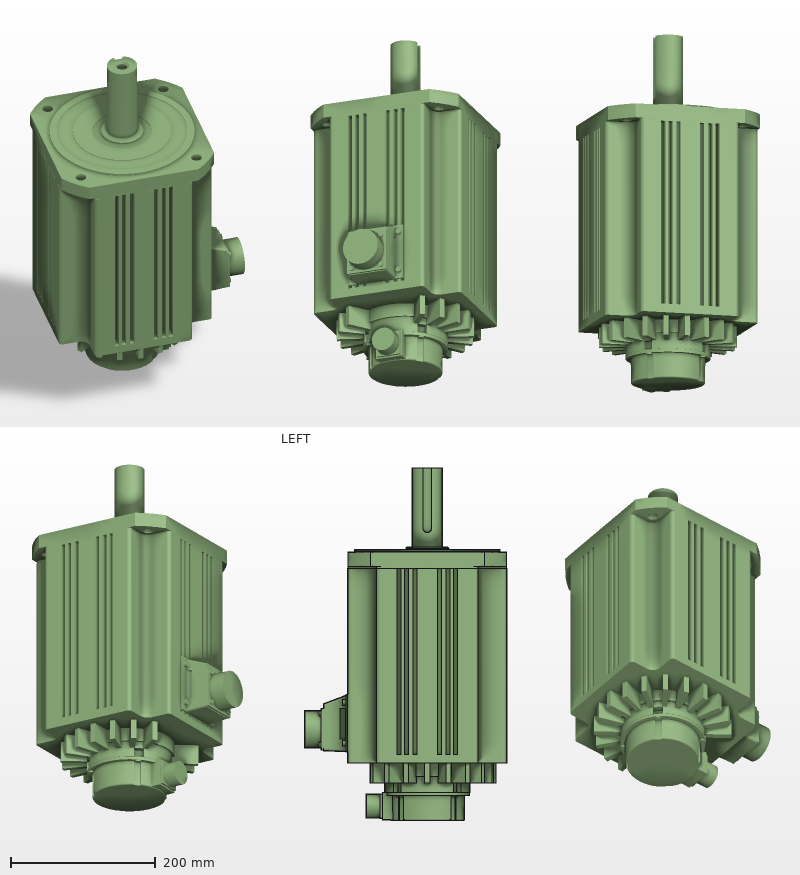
import cadquery as cq


OVERALL_LENGTH = 487.5
OVERALL_DEPTH = 279.5

SHAFT_R = 21.0
SHAFT_TOP = 116.5
KEY_WIDTH = 12.0
KEY_LENGTH = 89.0
KEY_FLOOR_X = -15.0
CENTRE_HOLE_R = 7.0
CENTRE_HOLE_DEPTH = 34.0
CENTRE_SINK_R = 9.7

FLANGE_SIDE = 219.5
FLANGE_CORNER_R = 135.0
FLANGE_THICK = 19.5
BOLT_CIRCLE_R = 117.5
BOLT_HOLE_R = 7.5
PILOT_R = 100.5
PILOT_HEIGHT = 4.0
PILOT_UNDERCUT_R = 99.0
PILOT_UNDERCUT_HEIGHT = 1.5
PILOT_STEP = 1.0
PILOT_RECESS_R = 90.0
HUB_FACE_R = 68.0
SEAL_POCKET_R = 41.0
SEAL_R = 29.5
SEAL_TOP = 7.0
SEAL_CHAMFER = 1.5

HOUSING_SIDE = 220.0
COLLAR_SIDE = FLANGE_SIDE
HOUSING_BOTTOM = -291.5
NOTCH_WALL = 70.0
NOTCH_INNER_R = 12.0
NOTCH_TIP_R = 5.5
GROOVE_TOP = -22.5
GROOVE_BOTTOM = -279.5
GROOVE_WIDTH = 6.0
GROOVE_OFFSETS = (17.0, 29.0, 39.0)
GROOVE_FLOOR_R = 102.5

FIN_COUNT = 20
FINS_OMITTED = (4, 5, 6)
FIN_ROOT_R = 53.5
FIN_TIP_R = 95.0
FIN_WIDTH = 7.5
FIN_BOTTOM = -319.3
REAR_HUB_R = 62.5
REAR_HUB_BOTTOM = -310.0

RING_R = 59.0
RING_BOTTOM = -336.5
RIM_R = 58.5
RIM_HEIGHT = 4.5
CUP_TOP_R = 51.5
CUP_BOTTOM_R = 51.0
CUP_BOTTOM = SHAFT_TOP - OVERALL_LENGTH
CUP_FILLET = 2.0
RING_SLOT_WIDTH = 14.0
RING_SLOT_FLOOR = 49.5
CUP_SLOT_WIDTH = 9.7
CUP_SLOT_FLOOR = 49.0
COVER_SCREW_R = 4.0
COVER_SCREW_CENTRE = 54.5
COVER_SCREW_HEIGHT = 2.0

ENC_Z = -351.0
ENC_BOX_SIDE = 38.0
ENC_BOX_Y = 62.0
ENC_PLATE_Y = 65.5
ENC_PLATE_SIDE = 34.0
ENC_PLUG_R = 16.5
ENC_PLUG_Y = 84.5

POWER_Z = -244.5
POWER_BASE_Y = 112.5
POWER_BASE_HALF_X = 40.5
POWER_BOX_Y = 143.5
POWER_PLATE_Y = 146.5
POWER_PLUG_Y = OVERALL_DEPTH - HOUSING_SIDE / 2
POWER_PLUG_R = 26.0
POWER_PLATE_SIDE = 57.5
POWER_BASE_TOP = -197.0
POWER_BASE_BOTTOM = -276.0
POWER_TIP_TOP = -209.5
POWER_TIP_BOTTOM = -274.5
POWER_BASE_BOX_X = 30.0
POWER_TIP_BOX_X = 29.0
POWER_BOX_FILLET = 3.0
EDGE_MARGIN = 5.0
POWER_SCREW_R = 4.0
POWER_SCREW_X = 35.0
POWER_SCREW_Y = 117.0
POWER_SCREW_Z = (-207.5, -264.0)
PLUG_SCREW_R = 3.5
PLUG_SCREW_OFFSET = 22.0
PLUG_SCREW_HEIGHT = 3.0
GRIP_TOP = -216.0
GRIP_BOTTOM = -258.0
GRIP_OUTER_Y = 120.5
GRIP_DEPTH = 9.0


def disc(radius, bottom, top):
    """Cylinder on the Z axis between two heights."""
    return cq.Workplane("XY").workplane(offset=bottom).circle(radius).extrude(top - bottom)


def block(x0, x1, y0, y1, z0, z1):
    """Box given by its limits along each axis."""
    return cq.Workplane("XY").box(x1 - x0, y1 - y0, z1 - z0, centered=False).translate((x0, y0, z0))


def rod_y(radius, x, z, y0, y1):
    """Cylinder parallel to Y between two Y positions."""
    return cq.Workplane("XZ", origin=(x, y0, z)).circle(radius).extrude(y0 - y1)


def turned(shape, angle):
    """Shape rotated about the Z axis by an angle in degrees."""
    return shape.rotate((0, 0, 0), (0, 0, 1), angle)


def make_shaft():
    shaft = disc(SHAFT_R, -FLANGE_THICK, SHAFT_TOP)
    key_end_z = SHAFT_TOP - KEY_LENGTH + KEY_WIDTH / 2
    key_depth = SHAFT_R + KEY_FLOOR_X
    key_end = cq.Workplane("YZ", origin=(-SHAFT_R, 0, key_end_z)).circle(KEY_WIDTH / 2).extrude(key_depth)
    keyway = block(-SHAFT_R, KEY_FLOOR_X, -KEY_WIDTH / 2, KEY_WIDTH / 2, key_end_z, SHAFT_TOP)
    sink_depth = CENTRE_SINK_R - CENTRE_HOLE_R
    centre_hole = (
        cq.Workplane("XZ")
        .moveTo(0, SHAFT_TOP)
        .lineTo(CENTRE_SINK_R, SHAFT_TOP)
        .lineTo(CENTRE_HOLE_R, SHAFT_TOP - sink_depth)
        .lineTo(CENTRE_HOLE_R, SHAFT_TOP - CENTRE_HOLE_DEPTH)
        .lineTo(0, SHAFT_TOP - CENTRE_HOLE_DEPTH - CENTRE_HOLE_R)
        .close()
        .revolve(360, (0, 0, 0), (0, 1, 0))
    )
    return shaft.cut(keyway).cut(key_end).cut(centre_hole)


def make_flange():
    half = FLANGE_SIDE / 2
    flange = block(-half, half, -half, half, -FLANGE_THICK, 0)
    flange = flange.intersect(disc(FLANGE_CORNER_R, -FLANGE_THICK, 0))
    flange = flange.union(disc(PILOT_UNDERCUT_R, -PILOT_STEP, PILOT_UNDERCUT_HEIGHT))
    flange = flange.union(disc(PILOT_R, PILOT_UNDERCUT_HEIGHT, PILOT_HEIGHT))
    step_floor = PILOT_HEIGHT - PILOT_STEP
    flange = flange.cut(disc(PILOT_RECESS_R, step_floor, PILOT_HEIGHT))
    flange = flange.union(disc(HUB_FACE_R, 0, PILOT_HEIGHT))
    flange = flange.cut(disc(SEAL_POCKET_R, step_floor, PILOT_HEIGHT))
    seal = disc(SEAL_R, 0, SEAL_TOP).faces(">Z").chamfer(SEAL_CHAMFER)
    return flange.union(seal)


def bolt_holes():
    return (
        cq.Workplane("XY")
        .workplane(offset=-FLANGE_THICK)
        .polarArray(BOLT_CIRCLE_R, 45, 360, 4)
        .circle(BOLT_HOLE_R)
        .extrude(FLANGE_THICK)
    )


def notched_prism(side, bottom, top):
    """Square prism with a rounded square notch cut out of each corner."""
    wall = NOTCH_WALL - (HOUSING_SIDE - side) / 2
    height = top - bottom
    base = cq.Workplane("XY").workplane(offset=bottom)
    prism = base.rect(side, 2 * wall).extrude(height)
    prism = prism.union(base.rect(2 * wall, side).extrude(height))
    reach = wall + NOTCH_TIP_R
    middle = cq.selectors.BoxSelector((-reach, -reach, bottom), (reach, reach, top))
    tips = cq.selectors.InverseSelector(middle)
    prism = prism.edges("|Z").edges(tips).fillet(NOTCH_TIP_R)
    return prism.edges("|Z").edges(middle).fillet(NOTCH_INNER_R)


def make_housing():
    collar = notched_prism(COLLAR_SIDE, GROOVE_TOP, -FLANGE_THICK)
    housing = notched_prism(HOUSING_SIDE, HOUSING_BOTTOM, GROOVE_TOP).union(collar)

    core = disc(GROOVE_FLOOR_R, GROOVE_BOTTOM, GROOVE_TOP)
    grooves = []
    for offset in GROOVE_OFFSETS:
        for centre in (-offset, offset):
            left = centre - GROOVE_WIDTH / 2
            right = centre + GROOVE_WIDTH / 2
            groove = block(left, right, -HOUSING_SIDE, -NOTCH_WALL, GROOVE_BOTTOM, GROOVE_TOP)
            grooves.append(groove.cut(core))
    for side in range(4):
        for groove in grooves:
            housing = housing.cut(turned(groove, 90 * side))
    return housing


def make_rear_fins():
    rear = disc(REAR_HUB_R, REAR_HUB_BOTTOM, HOUSING_BOTTOM)
    for index in range(FIN_COUNT):
        if index in FINS_OMITTED:
            continue
        fin = block(FIN_ROOT_R, FIN_TIP_R, -FIN_WIDTH / 2, FIN_WIDTH / 2, FIN_BOTTOM, HOUSING_BOTTOM)
        rear = rear.union(turned(fin, index * 360 / FIN_COUNT))
    return rear


def make_encoder():
    cup = (
        cq.Workplane("XY")
        .workplane(offset=CUP_BOTTOM)
        .circle(CUP_BOTTOM_R)
        .workplane(offset=RING_BOTTOM - CUP_BOTTOM)
        .circle(CUP_TOP_R)
        .loft()
        .faces("<Z")
        .edges()
        .fillet(CUP_FILLET)
    )
    rim_top = RING_BOTTOM + RIM_HEIGHT
    screw_bottom = RING_BOTTOM - COVER_SCREW_HEIGHT
    ring = disc(RING_R, rim_top, REAR_HUB_BOTTOM)
    ring_slot = block(
        RING_SLOT_FLOOR, FIN_TIP_R, -RING_SLOT_WIDTH / 2, RING_SLOT_WIDTH / 2, rim_top, FIN_BOTTOM
    )
    cup_slot = block(
        CUP_SLOT_FLOOR, FIN_TIP_R, -CUP_SLOT_WIDTH / 2, CUP_SLOT_WIDTH / 2, CUP_BOTTOM, RING_BOTTOM
    )
    screw = disc(COVER_SCREW_R, screw_bottom, RING_BOTTOM).translate((COVER_SCREW_CENTRE, 0, 0))
    rim = disc(RIM_R, RING_BOTTOM, rim_top)
    for angle in (45, 135, 225, 315):
        ring = ring.cut(turned(ring_slot, angle))
        cup = cup.cut(turned(cup_slot, angle))
        rim = rim.union(turned(screw, angle))
    return ring.union(cup).union(rim)


def make_encoder_connector():
    half = ENC_BOX_SIDE / 2
    plate_half = ENC_PLATE_SIDE / 2
    connector = block(-half, half, 0, ENC_BOX_Y, ENC_Z - half, ENC_Z + half)
    plate = block(-plate_half, plate_half, ENC_BOX_Y, ENC_PLATE_Y, ENC_Z - plate_half, ENC_Z + plate_half)
    return connector.union(plate).union(rod_y(ENC_PLUG_R, 0, ENC_Z, ENC_PLATE_Y, ENC_PLUG_Y))


def make_power_connector():
    root_y = HOUSING_SIDE / 2
    side_profile = (
        cq.Workplane("YZ", origin=(-POWER_BASE_BOX_X, 0, 0))
        .moveTo(root_y, POWER_BASE_BOTTOM)
        .lineTo(POWER_BOX_Y, POWER_TIP_BOTTOM)
        .lineTo(POWER_BOX_Y, POWER_TIP_TOP)
        .lineTo(root_y, POWER_BASE_TOP)
        .close()
        .extrude(2 * POWER_BASE_BOX_X)
    )
    plan_profile = (
        cq.Workplane("XY", origin=(0, 0, POWER_BASE_BOTTOM))
        .moveTo(-POWER_BASE_BOX_X, root_y)
        .lineTo(POWER_BASE_BOX_X, root_y)
        .lineTo(POWER_TIP_BOX_X, POWER_BOX_Y)
        .lineTo(-POWER_TIP_BOX_X, POWER_BOX_Y)
        .close()
        .extrude(POWER_BASE_TOP - POWER_BASE_BOTTOM)
    )
    box = side_profile.intersect(plan_profile)
    along_y = cq.selectors.BoxSelector(
        (-POWER_BASE_BOX_X, root_y + EDGE_MARGIN, POWER_BASE_BOTTOM),
        (POWER_BASE_BOX_X, POWER_BOX_Y - EDGE_MARGIN, POWER_BASE_TOP),
    )
    box = box.edges(along_y).fillet(POWER_BOX_FILLET)

    for side in (-1, 1):
        grip = (
            cq.Workplane("XY", origin=(0, 0, GRIP_BOTTOM))
            .moveTo(side * POWER_BASE_BOX_X, POWER_BASE_Y)
            .lineTo(side * (POWER_BASE_BOX_X - GRIP_DEPTH), GRIP_OUTER_Y)
            .lineTo(side * POWER_BASE_HALF_X, GRIP_OUTER_Y)
            .lineTo(side * POWER_BASE_HALF_X, POWER_BASE_Y)
            .close()
            .extrude(GRIP_TOP - GRIP_BOTTOM)
        )
        box = box.cut(grip)

    plate_half = POWER_PLATE_SIDE / 2
    base = block(
        -POWER_BASE_HALF_X, POWER_BASE_HALF_X, root_y, POWER_BASE_Y, POWER_BASE_BOTTOM, POWER_BASE_TOP
    )
    plate = block(
        -plate_half, plate_half, POWER_BOX_Y, POWER_PLATE_Y, POWER_Z - plate_half, POWER_Z + plate_half
    )
    connector = base.union(box).union(plate)
    connector = connector.union(rod_y(POWER_PLUG_R, 0, POWER_Z, POWER_PLATE_Y, POWER_PLUG_Y))
    screw_end = POWER_PLATE_Y + PLUG_SCREW_HEIGHT
    for side in (-1, 1):
        for screw_z in POWER_SCREW_Z:
            screw = rod_y(POWER_SCREW_R, side * POWER_SCREW_X, screw_z, root_y, POWER_SCREW_Y)
            connector = connector.union(screw)
        for level in (-1, 1):
            screw_z = POWER_Z + level * PLUG_SCREW_OFFSET
            screw = rod_y(PLUG_SCREW_R, side * PLUG_SCREW_OFFSET, screw_z, POWER_PLATE_Y, screw_end)
            connector = connector.union(screw)
    return connector


result = (
    make_housing()
    .union(make_flange())
    .cut(bolt_holes())
    .union(make_shaft())
    .union(make_rear_fins())
    .union(make_encoder())
    .union(make_encoder_connector())
    .union(make_power_connector())
)